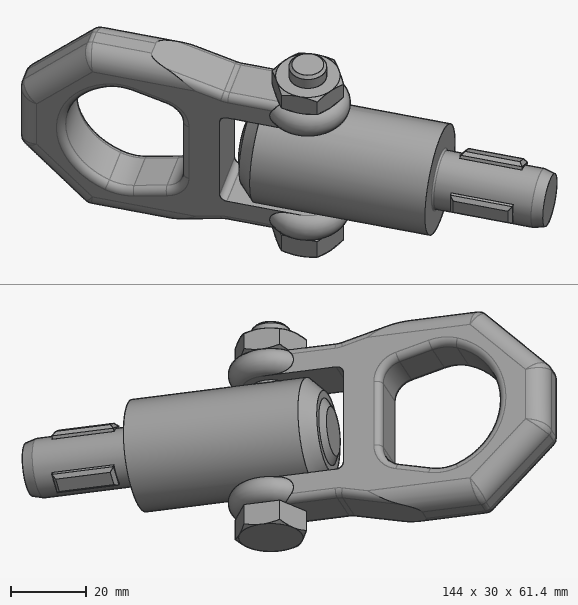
import cadquery as cq
import math

bolt_diameter = 10.0
body_radius = 15.0
arm_thickness = 7.5
arm_inner = body_radius
arm_outer = arm_inner + arm_thickness

link_thickness = 15.0
link_half_height = 28.0
link_left = -77.7
nose_half_height = 9.5
outer_edge_radius = 5.5
corner_radius = 1.9
taper_angle = 14.3
taper_start = -42.2
taper_blend_radius = 6.0
arm_edge_radius = 2.0
fork_left = -22.1
fork_corner_radius = 2.0
ring_radius = arm_thickness / 2

eye_radius = 18.2
eye_center_x = -46.6
eye_right = -32.5
eye_blend_radius = 11.5
eye_blend_start = 20.0
eye_side_angle = 14.3
eye_corner_radius = 6.0
eye_edge_radius = 2.0

rim_x = -15.8
rim_radius = 11.0
body_chamfer = body_radius - rim_radius
body_right = 36.2
stub_length = 1.4
stub_base_radius = 9.0
stub_face_radius = 6.6
shank_radius = 7.95
shank_right = 66.3
shank_root_radius = 0.5
lead_in_length = 3.0
lead_in_angle = 15.0

key_count = 3
key_length = 17.0
key_width = 6.0
key_top_radius = 9.25
key_chamfer = 1.0
key_center_x = 49.8

hex_across_flats = 17.0
hex_chamfer_angle = 30.0
bolt_head_height = 6.4
nut_height = 6.0
bolt_top = 32.5
bolt_tip_chamfer = 0.8

margin = 1.0


def cylinder_z(radius, bottom, top):
    return cq.Workplane("XY").workplane(offset=bottom).circle(radius).extrude(top - bottom)


def link_blank():
    """Pointed plate with its long edges and nose corners rounded."""
    nose_depth = link_half_height - nose_half_height
    blank = (
        cq.Workplane("XZ")
        .polyline([
            (link_left, -nose_half_height),
            (link_left, nose_half_height),
            (link_left + nose_depth, link_half_height),
            (0, link_half_height),
            (0, -link_half_height),
            (link_left + nose_depth, -link_half_height),
        ])
        .close()
        .extrude(link_thickness / 2, both=True)
    )
    nose_edges = cq.selectors.BoxSelector(
        (link_left - margin, -link_thickness, -link_half_height - margin),
        (link_left + nose_depth + margin, link_thickness, link_half_height + margin),
    )
    blank = blank.edges("|Y").edges(nose_edges).fillet(corner_radius)
    return blank.faces("<Y or >Y").edges("not >X").fillet(outer_edge_radius)


def taper_envelope():
    """Wedge that narrows the plate toward the arms, with a blended knee and rounded side edges."""
    slope = math.tan(math.radians(taper_angle))
    knee_x = taper_start + (link_half_height - arm_outer) / slope
    left_half_height = link_half_height + (taper_start - link_left) * slope
    return (
        cq.Workplane("XZ")
        .polyline([
            (0, -arm_outer),
            (knee_x, -arm_outer),
            (link_left, -left_half_height),
            (link_left, left_half_height),
            (knee_x, arm_outer),
            (0, arm_outer),
        ])
        .close()
        .extrude(link_thickness / 2, both=True)
        .edges("|Y and (not <X) and (not >X)")
        .fillet(taper_blend_radius)
        .faces("<Y or >Y")
        .edges("(not <X) and (not >X)")
        .fillet(arm_edge_radius)
    )


def eye_opening():
    """Rounded opening: large left arc, short blend arcs, sloped sides and a straight right side."""
    start = math.radians(eye_blend_start)
    slope = math.radians(eye_side_angle)
    blend_offset = eye_radius - eye_blend_radius
    blend_x = eye_center_x - blend_offset * math.sin(start)
    blend_z = blend_offset * math.cos(start)

    arc_end = (eye_center_x - eye_radius * math.sin(start), eye_radius * math.cos(start))
    blend_top = (blend_x, blend_z + eye_blend_radius)
    slope_start = (
        blend_x + eye_blend_radius * math.sin(slope),
        blend_z + eye_blend_radius * math.cos(slope),
    )
    slope_end_z = slope_start[1] - (eye_right - slope_start[0]) * math.tan(slope)

    def mirrored(point):
        return (point[0], -point[1])

    return (
        cq.Workplane("XZ")
        .moveTo(*mirrored(arc_end))
        .threePointArc((eye_center_x - eye_radius, 0), arc_end)
        .threePointArc(blend_top, slope_start)
        .lineTo(eye_right, slope_end_z)
        .lineTo(eye_right, -slope_end_z)
        .lineTo(*mirrored(slope_start))
        .threePointArc(mirrored(blend_top), mirrored(arc_end))
        .close()
        .extrude(link_thickness, both=True)
        .edges("|Y and >X")
        .fillet(eye_corner_radius)
    )


def fork_slot():
    """Gap between the two arms, with rounded inner corners."""
    return (
        cq.Workplane("XY")
        .box(margin - fork_left, 2 * link_thickness, 2 * arm_inner, centered=(False, True, True))
        .translate((fork_left, 0, 0))
        .edges("|Y and <X")
        .fillet(fork_corner_radius)
    )


def arm_eye(bottom):
    """Disc with a fully rounded rim around the bolt hole of one arm."""
    core_radius = link_thickness / 2
    return (
        cq.Workplane("XZ")
        .moveTo(0, bottom)
        .lineTo(core_radius, bottom)
        .threePointArc(
            (core_radius + ring_radius, bottom + ring_radius),
            (core_radius, bottom + arm_thickness),
        )
        .lineTo(0, bottom + arm_thickness)
        .close()
        .revolve(360, (0, 0), (0, 1))
    )


def make_link():
    link = link_blank().intersect(taper_envelope())
    link = link.cut(fork_slot()).cut(eye_opening())
    eye_rims = cq.selectors.BoxSelector(
        (eye_center_x - eye_radius - margin, -link_thickness, -eye_radius - margin),
        (eye_right + margin, link_thickness, eye_radius + margin),
    )
    link = link.faces("<Y or >Y").edges(eye_rims).fillet(eye_edge_radius)
    for bottom in (arm_inner, -arm_outer):
        link = link.union(arm_eye(bottom))
    return link.cut(cylinder_z(bolt_diameter / 2, -link_half_height, link_half_height))


def shank_key(angle):
    """Raised key with a chamfered top, turned about the shank axis; 0 degrees faces -Y."""
    return (
        cq.Workplane("XZ", origin=(key_center_x, 0, 0))
        .rect(key_length, key_width)
        .extrude(key_top_radius)
        .faces("<Y")
        .chamfer(key_chamfer)
        .rotate((0, 0, 0), (1, 0, 0), angle)
    )


def make_swivel():
    """Turned body with a stub at one end and a keyed shank at the other, cross-drilled for the bolt."""
    tip_radius = shank_radius - lead_in_length * math.tan(math.radians(lead_in_angle))
    swivel = (
        cq.Workplane("XZ")
        .moveTo(rim_x - stub_length, 0)
        .lineTo(rim_x - stub_length, stub_face_radius)
        .lineTo(rim_x, stub_base_radius)
        .lineTo(rim_x, rim_radius)
        .lineTo(rim_x + body_chamfer, body_radius)
        .lineTo(body_right, body_radius)
        .lineTo(body_right, shank_radius + shank_root_radius)
        .radiusArc((body_right + shank_root_radius, shank_radius), -shank_root_radius)
        .lineTo(shank_right - lead_in_length, shank_radius)
        .lineTo(shank_right, tip_radius)
        .lineTo(shank_right, 0)
        .close()
        .revolve(360, (0, 0), (1, 0))
    )
    for index in range(key_count):
        swivel = swivel.union(shank_key(index * 360 / key_count))
    return swivel.cut(cylinder_z(bolt_diameter / 2, -body_radius, body_radius))


def hexagon(height, chamfer_bottom, chamfer_top):
    """Hexagonal prism standing on z = 0 with its corners turned off by a cone at the chosen ends."""
    across_corners_radius = hex_across_flats / math.sqrt(3)
    chamfer_width = across_corners_radius - hex_across_flats / 2
    chamfer_depth = chamfer_width * math.tan(math.radians(hex_chamfer_angle))
    prism = cq.Workplane("XY").polygon(6, 2 * across_corners_radius).extrude(height)
    envelope = cylinder_z(across_corners_radius, 0, height)
    if chamfer_top:
        envelope = envelope.faces(">Z").chamfer(chamfer_depth, chamfer_width)
    if chamfer_bottom:
        envelope = envelope.faces("<Z").chamfer(chamfer_depth, chamfer_width)
    return prism.intersect(envelope)


def make_bolt():
    head_bottom = -arm_outer - bolt_head_height
    head = hexagon(bolt_head_height, True, False).translate((0, 0, head_bottom))
    shaft = cylinder_z(bolt_diameter / 2, -arm_outer, bolt_top).faces(">Z").chamfer(bolt_tip_chamfer)
    return head.union(shaft)


def make_nut():
    nut = hexagon(nut_height, True, True).translate((0, 0, arm_outer))
    return nut.cut(cylinder_z(bolt_diameter / 2, arm_outer, arm_outer + nut_height))


link = make_link()
swivel = make_swivel()
bolt = make_bolt()
nut = make_nut()

result = cq.Compound.makeCompound([link.val(), swivel.val(), bolt.val(), nut.val()])